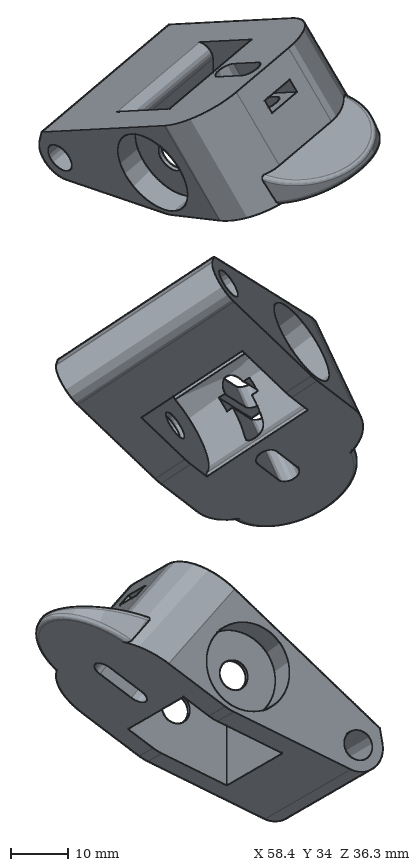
import cadquery as cq
import math

body_width = 34.0
half_width = body_width / 2

hinge_radius = 4.85
hinge_bore = 5.5
pivot = (21.5, 11.45)
pivot_bore = 5.4
pivot_boss_radius = 9.0
nose_corner = (-4.25, 3.6)
top_angle = 37.4
bottom_angle = 30
face_angle = -50
apex = (32.1, 31.45)
corner_radius = 10.05

counterbore_diameter = 16.15
counterbore_wall = 0.9
cavity_radius = 9.9
cavity_y_min = -11.45
cavity_y_max = 10.5
outlet_front = 9.35
lip_radius = 2.15
window_front_setback = 14.6

slot_y = 0.6
slot_width = 4.15
slot_length = 11.15
slot_setback = 7.75
slit_width = 6.65
slit_height = 2.6
slit_setback = 12.85
slit_depth_below_top = 5.9

tab_radius = 12.55
tab_y = 1.5
tab_reach = 19.6
tab_top_angle = 9.5
tab_root_drop = 15.45
tab_edge_radius = 0.8
tab_embed = 4.65
tab_blank_length = 14.6

overrun = 87.55


def polar(point, angle, distance):
    """Point at a distance from another, in the XZ plane."""
    a = math.radians(angle)
    return (point[0] + distance * math.cos(a), point[1] + distance * math.sin(a))


def crossing(p, angle_p, q, angle_q):
    """Crossing of two lines, each given by a point and an angle."""
    a = math.radians(angle_p)
    b = math.radians(angle_q)
    dx, dz = q[0] - p[0], q[1] - p[1]
    t = (dx * math.sin(b) - dz * math.cos(b)) / math.sin(b - a)
    return polar(p, angle_p, t)


def side_plane(y):
    """XZ plane at the given Y; positive extrusion runs toward -Y."""
    return cq.Workplane("XZ", origin=(0, y, 0))


def tilted_plane(point, y, normal_angle):
    """Plane along the given normal, with local x in XZ and local y along +Y."""
    x, z = polar((0, 0), normal_angle - 90, 1)
    nx, nz = polar((0, 0), normal_angle, 1)
    return cq.Workplane(cq.Plane((point[0], y, point[1]), (x, 0, z), (nx, 0, nz)))


def cylinder(center, diameter, y_min, y_max):
    """Round bar along Y."""
    return side_plane(y_max).center(*center).circle(diameter / 2).extrude(y_max - y_min)


top_normal = top_angle + 90
bottom_normal = bottom_angle - 90
bottom_tangent = polar(pivot, bottom_normal, pivot_boss_radius)
front_foot = crossing(apex, face_angle, bottom_tangent, bottom_angle)


def make_body():
    span = math.hypot(*pivot)
    lower_angle = math.degrees(
        math.atan2(pivot[1], pivot[0]) - math.asin((pivot_boss_radius - hinge_radius) / span)
    )
    lower_normal = lower_angle - 90
    nose_distance = math.hypot(*nose_corner)
    nose_angle = math.degrees(math.atan2(nose_corner[1], nose_corner[0]))
    nose_tangent_angle = nose_angle + math.degrees(math.acos(hinge_radius / nose_distance))
    hinge_start = polar((0, 0), nose_tangent_angle, hinge_radius)
    hinge_middle = polar((0, 0), (nose_tangent_angle + lower_normal + 360) / 2, hinge_radius)
    hinge_end = polar((0, 0), lower_normal, hinge_radius)
    boss_middle = polar(pivot, (lower_normal + bottom_normal) / 2, pivot_boss_radius)

    body = (
        side_plane(half_width)
        .moveTo(*nose_corner)
        .lineTo(*hinge_start)
        .threePointArc(hinge_middle, hinge_end)
        .lineTo(*polar(pivot, lower_normal, pivot_boss_radius))
        .threePointArc(boss_middle, bottom_tangent)
        .lineTo(*front_foot)
        .lineTo(*apex)
        .close()
        .extrude(body_width)
    )
    face_middle = ((apex[0] + front_foot[0]) / 2, (apex[1] + front_foot[1]) / 2)
    corners = [(face_middle[0], side * half_width, face_middle[1]) for side in (-1, 1)]
    selectors = cq.selectors.NearestToPointSelector
    return body.edges(selectors(corners[0]) + selectors(corners[1])).fillet(corner_radius)


def make_tab():
    base = tilted_plane(bottom_tangent, tab_y, bottom_normal + 180)
    disc = base.center(tab_reach, 0).circle(tab_radius).extrude(overrun)
    root = polar(apex, face_angle, tab_root_drop)
    buried = polar(root, tab_top_angle + 180, tab_embed)
    buried_foot = polar(front_foot, bottom_angle + 180, tab_embed)
    outer_foot = polar(front_foot, bottom_angle, tab_blank_length)
    outer_top = polar(root, tab_top_angle, tab_blank_length)
    wedge = (
        side_plane(overrun)
        .polyline([buried, buried_foot, outer_foot, outer_top])
        .close()
        .extrude(2 * overrun)
    )
    tab = disc.intersect(wedge)
    return tab.edges("%ELLIPSE or %CIRCLE").fillet(tab_edge_radius)


def make_cavity():
    """Wheel cavity with its window through the top and a rounded rear lip."""
    to_top = ((apex[0] - pivot[0]) * math.cos(math.radians(top_normal))
              + (apex[1] - pivot[1]) * math.sin(math.radians(top_normal)))
    lip_height = to_top - lip_radius
    lip_back = math.sqrt((cavity_radius + lip_radius) ** 2 - lip_height ** 2)
    lip_center = polar(polar(pivot, top_normal, lip_height), top_angle + 180, lip_back)
    lip_angle = math.degrees(math.atan2(pivot[1] - lip_center[1], pivot[0] - lip_center[0]))
    lip_top = polar(lip_center, top_normal, lip_radius)
    lip_middle = polar(lip_center, (top_normal + lip_angle) / 2, lip_radius)
    lip_end = polar(lip_center, lip_angle, lip_radius)
    window_front = polar(apex, top_angle + 180, window_front_setback)

    along = math.dist(lip_top, window_front) - lip_back
    front_height = math.sqrt(cavity_radius ** 2 - along ** 2)
    front_end = polar(window_front, top_normal + 180, to_top - front_height)
    width = cavity_y_max - cavity_y_min
    window = (
        side_plane(cavity_y_max)
        .moveTo(*lip_top)
        .threePointArc(lip_middle, lip_end)
        .lineTo(*pivot)
        .lineTo(*front_end)
        .lineTo(*polar(window_front, top_normal, lip_radius))
        .lineTo(*polar(lip_top, top_normal, lip_radius))
        .close()
        .extrude(width)
    )
    outlet = (
        side_plane(cavity_y_max)
        .center(*pivot)
        .moveTo(-cavity_radius, 0)
        .lineTo(outlet_front, 0)
        .lineTo(outlet_front, -2 * cavity_radius)
        .lineTo(-cavity_radius, -2 * cavity_radius)
        .close()
        .extrude(width)
    )
    wheel = cylinder(pivot, 2 * cavity_radius, cavity_y_min, cavity_y_max)
    return window.union(wheel).union(outlet)


def make_slot():
    center = polar(apex, top_angle + 180, slot_setback)
    return tilted_plane(center, slot_y, top_normal).slot2D(slot_length, slot_width).extrude(-overrun)


def make_slit():
    """Rectangular passage parallel to the top face, from the cavity out of the front face."""
    lowered = polar(apex, top_normal + 180, slit_depth_below_top)
    start = polar(lowered, top_angle + 180, slit_setback)
    section = tilted_plane(start, slot_y, top_angle)
    return section.rect(slit_height, slit_width).extrude(overrun)


def make_bores():
    bores = cylinder((0, 0), hinge_bore, -half_width, half_width)
    bores = bores.union(cylinder(pivot, pivot_bore, -half_width, half_width))
    front_floor = cavity_y_min - counterbore_wall
    back_floor = cavity_y_max + counterbore_wall
    for y_min, y_max in ((-half_width, front_floor), (back_floor, half_width)):
        bores = bores.union(cylinder(pivot, counterbore_diameter, y_min, y_max))
    return bores


result = make_body().union(make_tab())
for cutter in (make_cavity(), make_slot(), make_slit(), make_bores()):
    result = result.cut(cutter)